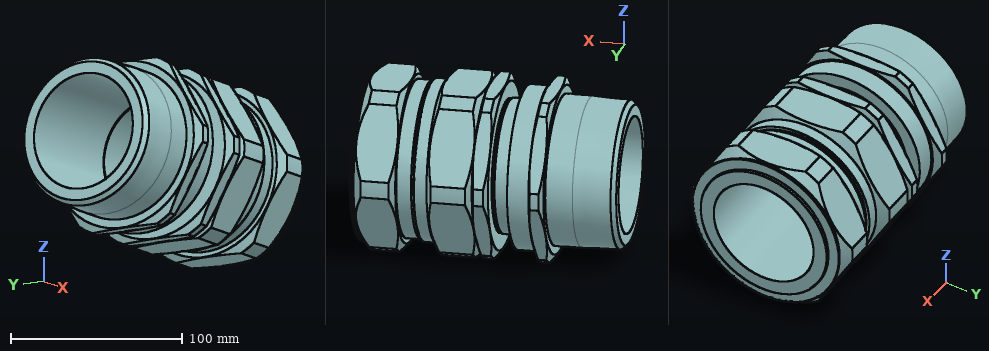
import cadquery as cq
import math

HEX_SIDES = 6
ACROSS_FLATS = 100.0
CORNER_RADIUS = 55.0

BORE_RADIUS = 34.1
ENTRY_RADIUS = 34.5
ENTRY_DEPTH = 74.0

TIP_RADIUS = 41.3
TIP_CHAMFER_LENGTH = 2.8
TAPER_START_RADIUS = 44.1
TAPER_END_X = 25.4
THREAD_RADIUS = 44.7

LOCK_NUT_START_X = 41.6
LOCK_NUT_END_X = 50.6
COLLAR_RADIUS = 48.75
COLLAR_END_X = 63.5

NECK_RADIUS = 40.0
NECK_GROOVE_START_X = 72.8
NECK_GROOVE_BOTTOM_X = 73.8
NECK_GROOVE_RADIUS = 39.0
NECK_GROOVE_END_RADIUS = 39.6

THIN_HEX_START_X = 74.7
THIN_HEX_END_X = 84.4
LONG_HEX_END_X = 111.7
RING_RADIUS = 48.2
RING_END_X = 119.2

GROOVE_START_RADIUS = 46.1
GROOVE_BOTTOM_RADIUS = 45.5
GROOVE_BOTTOM_X = 120.2
SHOULDER_START_X = 121.2
SHOULDER_RADIUS = 46.8

CAP_HEX_START_X = 130.0
CAP_HEX_END_X = 154.9
FLANGE_STEP_X = 155.9
FLANGE_STEP_RADIUS = 49.6
FLANGE_END_X = 156.7
FLANGE_RADIUS = 50.0
SEAL_RADIUS = 43.0
TOTAL_LENGTH = 158.8

FACE_RADIUS = 49.8
SHALLOW_ANGLE = 20.0
MEDIUM_ANGLE = 30.0
STEEP_ANGLE = 45.0


def revolve_about_x(points):
    """Turn an (x, radius) outline about the X axis."""
    return cq.Workplane("XZ").polyline(points).close().revolve(360, (0, 0, 0), (1, 0, 0))


def chamfer_length(face_radius, angle):
    """Length along X of a nut chamfer that meets the end face at face_radius."""
    return (CORNER_RADIUS - face_radius) * math.tan(math.radians(angle))


def hex_nut(start_x, end_x, start_angle, end_angle, start_face=FACE_RADIUS, end_face=FACE_RADIUS):
    """Hexagon with flats facing +Z and -Z, trimmed by a conical chamfer at each end."""
    across_corners = ACROSS_FLATS / math.cos(math.pi / HEX_SIDES)
    prism = (
        cq.Workplane("YZ", origin=(start_x, 0, 0))
        .polygon(HEX_SIDES, across_corners)
        .extrude(end_x - start_x)
    )
    envelope = revolve_about_x([
        (start_x, 0),
        (start_x, start_face),
        (start_x + chamfer_length(start_face, start_angle), CORNER_RADIUS),
        (end_x - chamfer_length(end_face, end_angle), CORNER_RADIUS),
        (end_x, end_face),
        (end_x, 0),
    ])
    return prism.intersect(envelope)


def turned_core():
    """All the round surfaces of the gland, from the threaded tip to the seal ring."""
    return revolve_about_x([
        (0, 0),
        (0, TIP_RADIUS),
        (TIP_CHAMFER_LENGTH, TAPER_START_RADIUS),
        (TAPER_END_X, THREAD_RADIUS),
        (LOCK_NUT_START_X, THREAD_RADIUS),
        (LOCK_NUT_START_X, COLLAR_RADIUS),
        (COLLAR_END_X, COLLAR_RADIUS),
        (COLLAR_END_X, NECK_RADIUS),
        (NECK_GROOVE_START_X, NECK_RADIUS),
        (NECK_GROOVE_BOTTOM_X, NECK_GROOVE_RADIUS),
        (THIN_HEX_START_X, NECK_GROOVE_END_RADIUS),
        (THIN_HEX_START_X, RING_RADIUS),
        (RING_END_X, RING_RADIUS),
        (RING_END_X, GROOVE_START_RADIUS),
        (GROOVE_BOTTOM_X, GROOVE_BOTTOM_RADIUS),
        (SHOULDER_START_X, SHOULDER_RADIUS),
        (CAP_HEX_END_X, SHOULDER_RADIUS),
        (CAP_HEX_END_X, FLANGE_STEP_RADIUS),
        (FLANGE_STEP_X, FLANGE_STEP_RADIUS),
        (FLANGE_STEP_X, FLANGE_RADIUS),
        (FLANGE_END_X, FLANGE_RADIUS),
        (FLANGE_END_X, SEAL_RADIUS),
        (TOTAL_LENGTH, SEAL_RADIUS),
        (TOTAL_LENGTH, 0),
    ])


def stepped_bore():
    """Through bore with a slightly wider mouth at the threaded end."""
    return revolve_about_x([
        (0, 0),
        (0, ENTRY_RADIUS),
        (ENTRY_DEPTH, ENTRY_RADIUS),
        (ENTRY_DEPTH, BORE_RADIUS),
        (TOTAL_LENGTH, BORE_RADIUS),
        (TOTAL_LENGTH, 0),
    ])


lock_nut = hex_nut(LOCK_NUT_START_X, LOCK_NUT_END_X, SHALLOW_ANGLE, SHALLOW_ANGLE)
thin_hex = hex_nut(THIN_HEX_START_X, THIN_HEX_END_X, SHALLOW_ANGLE, SHALLOW_ANGLE)
long_hex = hex_nut(THIN_HEX_END_X, LONG_HEX_END_X, MEDIUM_ANGLE, MEDIUM_ANGLE, end_face=RING_RADIUS)
cap_hex = hex_nut(CAP_HEX_START_X, CAP_HEX_END_X, MEDIUM_ANGLE, STEEP_ANGLE, end_face=FLANGE_STEP_RADIUS)

result = turned_core()
for nut in (lock_nut, thin_hex, long_hex, cap_hex):
    result = result.union(nut)
result = result.cut(stepped_bore())